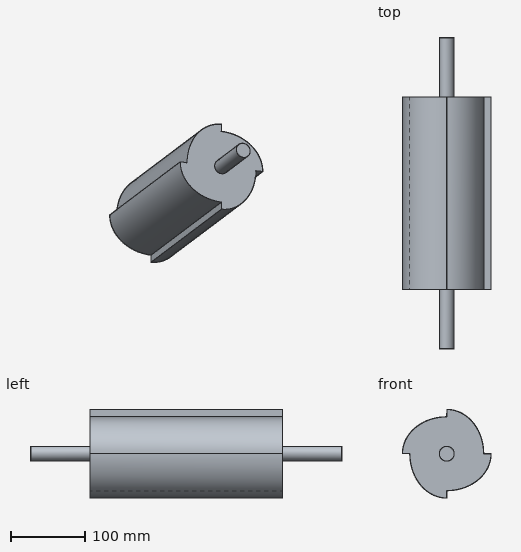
import cadquery as cq

tip_radius = 60.0
step_height = 10.0
flank_count = 4
body_length = 260.0
shaft_diameter = 20.0
shaft_length = 420.0

root_radius = tip_radius - step_height
flank_turn = 360.0 / flank_count


def make_flank_sector(turn):
    """Quarter-ellipse prism falling from a tip on one axis to a root on the next."""
    sector = (
        cq.Workplane("XZ", origin=(0, body_length / 2, 0))
        .lineTo(0, tip_radius)
        .ellipseArc(root_radius, tip_radius, angle1=0, angle2=90, sense=-1, startAtCurrent=True)
        .close()
        .extrude(body_length)
    )
    return sector.rotate((0, 0, 0), (0, 1, 0), turn)


def make_body():
    """Ratchet-shaped drum; neighbouring quarter sectors leave a radial step at each tip."""
    body = make_flank_sector(0)
    for index in range(1, flank_count):
        body = body.union(make_flank_sector(index * flank_turn))
    return body


def make_shaft():
    """Round shaft through the drum, projecting equally from both ends."""
    return (
        cq.Workplane("XZ", origin=(0, shaft_length / 2, 0))
        .circle(shaft_diameter / 2)
        .extrude(shaft_length)
    )


result = make_body().union(make_shaft())